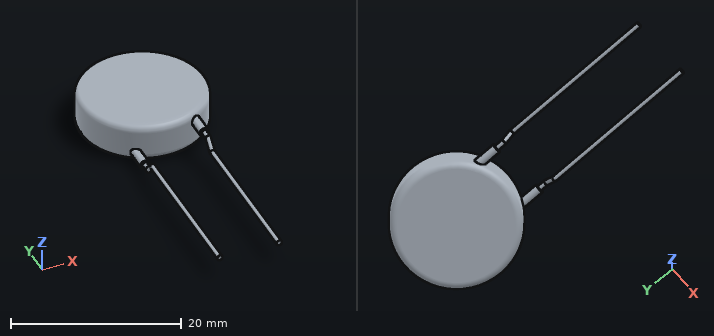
import cadquery as cq

disc_diameter = 16.0
disc_thickness = 5.0
disc_edge_radius = 1.0

lead_pitch = 7.6
lead_diameter = 0.7
lead_root_height = 1.27
lead_tip_y = -32.0
outer_bend_y = -12.0
inner_bend_y = outer_bend_y + lead_root_height

collar_diameter = 1.2
collar_end_y = -9.65
collar_start_y = -disc_diameter / 4

lead_roots = [
    (side * lead_pitch / 2, side * lead_root_height)
    for side in (-1, 1)
]


def make_collar(x, root_z):
    """Cylinder along -Y, starting inside the disc."""
    return (
        cq.Workplane("XZ", origin=(x, collar_start_y, root_z))
        .circle(collar_diameter / 2)
        .extrude(collar_start_y - collar_end_y)
    )


def make_coating():
    """Disc with rounded rims and one collar for each lead, as a single body."""
    body = (
        cq.Workplane("XY", origin=(0, 0, -disc_thickness / 2))
        .circle(disc_diameter / 2)
        .extrude(disc_thickness)
        .faces("|Z")
        .edges()
        .fillet(disc_edge_radius)
    )
    for x, root_z in lead_roots:
        body = body.union(make_collar(x, root_z))
    return body


def make_lead(x, root_z):
    """Round wire from the collar end, jogged to the mid-plane by two mitred bends."""
    path = cq.Workplane("YZ", origin=(x, 0, 0)).polyline([
        (collar_end_y, root_z),
        (inner_bend_y, root_z),
        (outer_bend_y, 0),
        (lead_tip_y, 0),
    ])
    return (
        cq.Workplane("XZ", origin=(x, collar_end_y, root_z))
        .circle(lead_diameter / 2)
        .sweep(path, transition="right")
    )


coating = make_coating()
leads = [make_lead(x, root_z) for x, root_z in lead_roots]

result = cq.Compound.makeCompound([coating.solids().val(), *[lead.val() for lead in leads]])